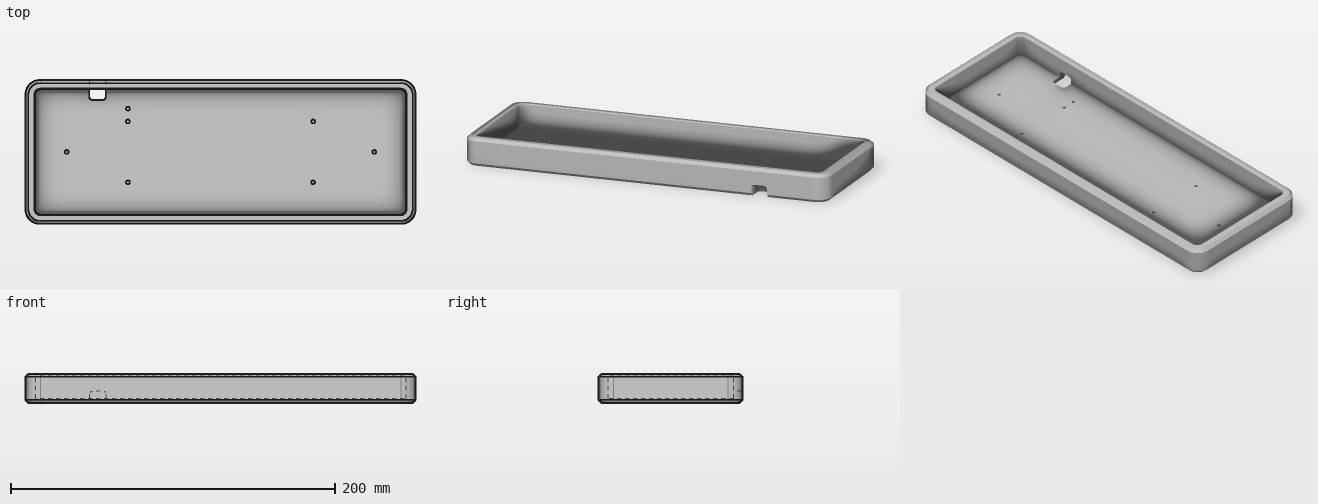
import cadquery as cq

length = 241.0
width = 89.0
height = 18.0
corner_radius = 9.2
edge_chamfer = 2.0

end_wall = 6.0
side_wall = 5.8
floor = 3.0
cavity_radius = 3.5
rim_chamfer = 0.5
pick_margin = 0.2
inner_wall_x = length / 2 - end_wall
inner_wall_y = width / 2 - side_wall

hole_diameter = 2.2
end_hole_x = 95.0
mount_x = 57.0
mount_y = 18.8
extra_hole_y = 26.8

opening_x = -76.0
opening_length = 10.1
opening_reach = 6.5
opening_rise = 4.5
opening_radius = 2.0


def make_body():
    block = cq.Workplane("XY").box(length, width, height, centered=(True, True, False))
    return block.edges("|Z").fillet(corner_radius).faces("<Z or >Z").edges().chamfer(edge_chamfer)


def make_cavity():
    return (
        cq.Workplane("XY", origin=(0, 0, floor))
        .rect(2 * inner_wall_x, 2 * inner_wall_y)
        .extrude(height - floor)
        .edges("|Z").fillet(cavity_radius)
    )


def make_holes():
    centers = [(-end_hole_x, 0), (end_hole_x, 0), (-mount_x, extra_hole_y)]
    for x in (-mount_x, mount_x):
        for y in (-mount_y, mount_y):
            centers.append((x, y))
    return cq.Workplane("XY").pushPoints(centers).circle(hole_diameter / 2).extrude(floor)


def make_opening():
    front_y = inner_wall_y - opening_reach
    block = cq.Workplane("XY").box(
        opening_length, width / 2 - front_y, floor + opening_rise, centered=(True, False, False)
    )
    block = block.edges("|Z and <Y").fillet(opening_radius)
    block = block.edges("|Y and >Z").fillet(opening_radius)
    return block.translate((opening_x, front_y, 0))


def chamfer_rim(tray):
    rim_edges = cq.selectors.BoxSelector(
        (-inner_wall_x - pick_margin, -inner_wall_y - pick_margin, height - pick_margin),
        (inner_wall_x + pick_margin, inner_wall_y + pick_margin, height + pick_margin),
    )
    return tray.edges(rim_edges).chamfer(rim_chamfer)


tray = chamfer_rim(make_body().cut(make_cavity()))
result = tray.cut(make_holes()).cut(make_opening())